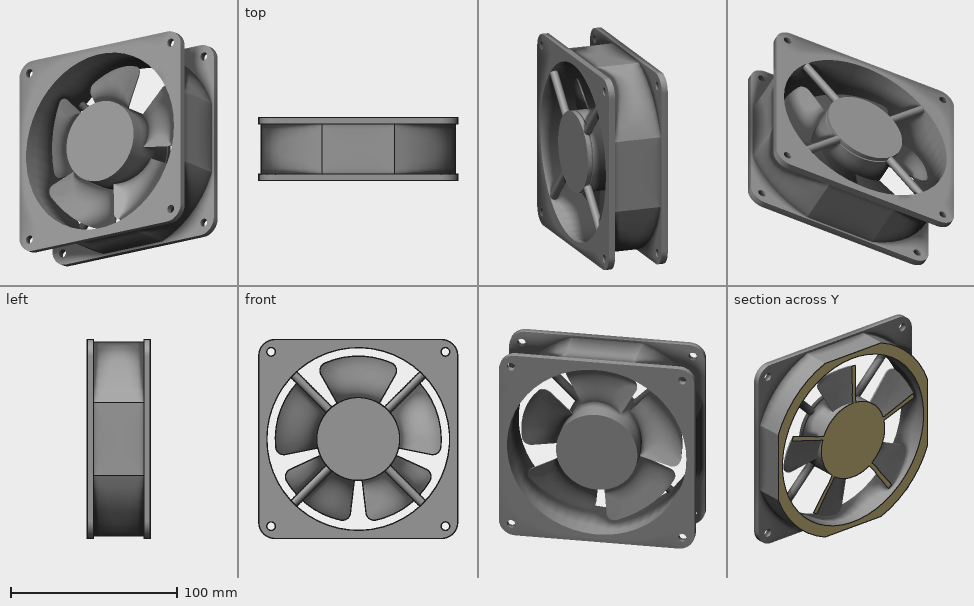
import cadquery as cq
import math

frame_size = 120.0
frame_depth = 38.0
flange_thickness = 4.0
flange_corner_radius = 10.0
bore_radius = 55.0

duct_radius = 62.5
duct_width = 117.1

hole_spacing = 105.0
hole_diameter = 5.0

hub_radius = 25.0
stator_thickness = 2.5
groove_width = 1.0
groove_depth = 1.0

strut_diameter = 5.0
strut_setback = 0.1
strut_count = 4
strut_start_angle = 45.0

blade_count = 5
blade_tip_radius = 50.0
blade_corner_radius = 5.0
blade_edge_angle = 29.3
blade_edge_offset = 0.7
blade_thickness = 1.0

blade_arc_half_angle = 34.0
blade_inner_height = 16.8
blade_inner_arc = (-2.4, 0.7, 7.5)
blade_outer_height = 51.0
blade_outer_arc = (-5.5, 1.1, 14.4)

front = -frame_depth / 2
back = frame_depth / 2

root_radius = hub_radius - 2 * groove_depth


def section_plane(y):
    """XZ sketch plane at the given Y; sketches extrude toward +Y."""
    return cq.Workplane(cq.Plane(origin=(0, y, 0), xDir=(-1, 0, 0), normal=(0, 1, 0)))


def cylinder(radius, y_start, length):
    return section_plane(y_start).circle(radius).extrude(length)


def make_flange(y_start):
    return (
        section_plane(y_start)
        .rect(frame_size, frame_size)
        .extrude(flange_thickness)
        .edges("|Y")
        .fillet(flange_corner_radius)
        .faces("<Y")
        .workplane(centerOption="CenterOfBoundBox")
        .rect(hole_spacing, hole_spacing, forConstruction=True)
        .vertices()
        .hole(hole_diameter)
    )


def make_housing():
    flats = cq.Workplane("XY").box(duct_width, frame_depth, duct_width)
    duct = cylinder(duct_radius, front + flange_thickness, frame_depth - 2 * flange_thickness)
    housing = duct.intersect(flats)
    housing = housing.union(make_flange(front)).union(make_flange(back - flange_thickness))
    return housing.cut(cylinder(bore_radius, front, frame_depth))


def make_hub():
    hub = cylinder(hub_radius, front, frame_depth)
    groove = cylinder(hub_radius, front + stator_thickness, groove_width).cut(
        cylinder(hub_radius - groove_depth, front + stator_thickness, groove_width)
    )
    return hub.cut(groove)


def make_strut(angle):
    """Round bar just behind the front face, from inside the hub into the duct wall."""
    wall_middle = (bore_radius + duct_width / 2) / 2
    strut = (
        cq.Workplane("YZ", origin=(root_radius, front + strut_setback + strut_diameter / 2, 0))
        .circle(strut_diameter / 2)
        .extrude(wall_middle - root_radius)
    )
    return strut.rotate((0, 0, 0), (0, 1, 0), angle)


def blade_arc(height, leading, middle, trailing):
    """Arc across the blade at one height above the fan axis, from the +X edge to the -X edge."""
    half_width = height * math.tan(math.radians(blade_arc_half_angle))
    return cq.Edge.makeThreePointArc(
        cq.Vector(half_width, leading, height),
        cq.Vector(0, middle, height),
        cq.Vector(-half_width, trailing, height),
    )


def make_blade():
    """Blade pointing to +Z; it runs from front to back as the angle turns toward -X."""
    wedge_height = 2 * blade_tip_radius
    wedge_half_width = blade_edge_offset + wedge_height * math.tan(math.radians(blade_edge_angle))
    outline = (
        section_plane(front)
        .polyline(
            [
                (-blade_edge_offset, 0),
                (blade_edge_offset, 0),
                (wedge_half_width, wedge_height),
                (-wedge_half_width, wedge_height),
            ]
        )
        .close()
        .extrude(frame_depth)
        .intersect(cylinder(blade_tip_radius, front, frame_depth))
        .cut(cylinder(root_radius, front, frame_depth))
    )
    tip_corners = cq.selectors.BoxSelector(
        (-frame_size, front, root_radius + blade_corner_radius), (frame_size, back, frame_size)
    )
    outline = outline.edges("|Y").edges(tip_corners).fillet(blade_corner_radius)

    inner = blade_arc(blade_inner_height, *blade_inner_arc)
    outer = blade_arc(blade_outer_height, *blade_outer_arc)
    sheet = cq.Face.makeRuledSurface(inner, outer)
    plate = cq.Workplane(cq.Solid.extrudeLinear(sheet, cq.Vector(0, blade_thickness, 0)))
    return plate.intersect(outline)


result = make_housing().union(make_hub())
for index in range(strut_count):
    result = result.union(make_strut(strut_start_angle + index * 360 / strut_count))
blade = make_blade()
for index in range(blade_count):
    result = result.union(blade.rotate((0, 0, 0), (0, 1, 0), index * 360 / blade_count))